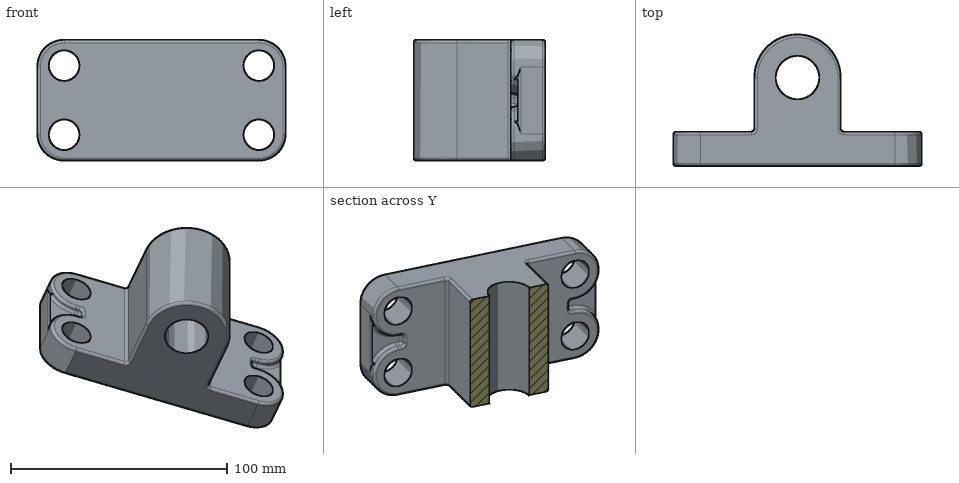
import cadquery as cq

width = 115.0
height = 56.0
depth = 61.0

plate_thickness = 16.0
corner_radius = 12.5
edge_round = 1.4

lug_radius = 20.0
bore_diameter = 20.0
lug_centre_y = depth - lug_radius

hole_diameter = 14.0
hole_pitch_x = 90.0
hole_pitch_z = 32.0

recess_depth = 3.2
recess_corner_radius = 1.5
recess_length = 15.5
recess_floor_y = plate_thickness - recess_depth
recess_inner_x = width / 2 - recess_length
pad_centre_x = width / 2 - corner_radius
pad_centre_z = height / 2 - corner_radius
recess_neck_z = pad_centre_z - corner_radius

tolerance = 0.01


def box_at_depth(y, x_start=-width, x_end=width):
    """Selector for what is centred at depth y between two X positions."""
    return cq.selectors.BoxSelector(
        (x_start, y - tolerance, -height),
        (x_end, y + tolerance, height),
    )


def make_plate():
    """Plate with a slot through each end, leaving a round pad on either side of it."""
    half_outline = (
        cq.Workplane("XZ")
        .moveTo(0, height / 2)
        .lineTo(-pad_centre_x, height / 2)
        .threePointArc((-width / 2, pad_centre_z), (-pad_centre_x, recess_neck_z))
        .lineTo(-recess_inner_x, recess_neck_z)
        .lineTo(-recess_inner_x, -recess_neck_z)
        .lineTo(-pad_centre_x, -recess_neck_z)
        .threePointArc((-width / 2, -pad_centre_z), (-pad_centre_x, -height / 2))
        .lineTo(0, -height / 2)
        .close()
    )
    half_plate = half_outline.extrude(-plate_thickness)
    inner_corners = cq.selectors.BoxSelector(
        (-recess_inner_x - tolerance, 0, -pad_centre_z),
        (-recess_inner_x + tolerance, plate_thickness, pad_centre_z),
    )
    half_plate = half_plate.edges("|Y").edges(inner_corners).fillet(recess_corner_radius)
    return half_plate.union(half_plate.mirror("YZ"))


def make_pocket():
    """Space above the recess floor at the -X end, open beyond the plate end."""
    open_x = -width / 2 - corner_radius
    open_z = height / 2
    pocket = (
        cq.Workplane("XZ", origin=(0, recess_floor_y, 0))
        .moveTo(-width / 2, pad_centre_z)
        .radiusArc((-pad_centre_x, recess_neck_z), -corner_radius)
        .lineTo(-recess_inner_x, recess_neck_z)
        .lineTo(-recess_inner_x, -recess_neck_z)
        .lineTo(-pad_centre_x, -recess_neck_z)
        .radiusArc((-width / 2, -pad_centre_z), -corner_radius)
        .lineTo(-width / 2, -open_z)
        .lineTo(open_x, -open_z)
        .lineTo(open_x, open_z)
        .lineTo(-width / 2, open_z)
        .close()
        .extrude(-plate_thickness)
    )
    pocket = pocket.edges("|Y").edges(">X").fillet(recess_corner_radius)
    return pocket.faces("<Y").edges().fillet(edge_round)


def make_lug():
    """Full-height lug with a round back, starting at the plate front."""
    return (
        cq.Workplane("XY")
        .moveTo(-lug_radius, 0)
        .lineTo(-lug_radius, lug_centre_y)
        .threePointArc((0, depth), (lug_radius, lug_centre_y))
        .lineTo(lug_radius, 0)
        .close()
        .extrude(height / 2, both=True)
    )


def make_slab(thickness):
    """Slab from the front face, as wide as the plate and reaching between the pad centres."""
    slab = cq.Workplane("XY").box(width, thickness, 2 * pad_centre_z)
    return slab.translate((0, thickness / 2, 0))


def make_recess_floor():
    """Filler for the front of both slots: a floor with rounded ends and filleted pad walls."""
    floor = make_slab(recess_floor_y).edges("|Z and >Y").fillet(edge_round)

    blend_top_y = recess_floor_y + edge_round
    wall_blend = make_slab(blend_top_y).faces(">Y").edges("|Z").chamfer(2 * edge_round, edge_round)
    pocket = make_pocket()
    wall_blend = wall_blend.cut(pocket).cut(pocket.mirror("YZ"))
    return floor.union(wall_blend)


def round_back(body):
    """Blend the lug into the plate, then round the back rims of plate, slots and lug."""
    junction = box_at_depth(plate_thickness, -lug_radius - tolerance, lug_radius + tolerance)
    body = body.edges("|Z").edges(junction).fillet(edge_round)

    lug_blend_x = lug_radius + 2 * edge_round
    left_rim = box_at_depth(plate_thickness, x_end=-lug_blend_x)
    right_rim = box_at_depth(plate_thickness, x_start=lug_blend_x)
    return body.edges(left_rim + right_rim).fillet(edge_round)


def cut_holes(body):
    """Drill the four mounting holes and the lug bore right through."""
    mounting_holes = (
        cq.Workplane("XZ")
        .rect(hole_pitch_x, hole_pitch_z, forConstruction=True)
        .vertices()
        .circle(hole_diameter / 2)
        .extrude(-plate_thickness)
    )
    bore = (
        cq.Workplane("XY")
        .center(0, lug_centre_y)
        .circle(bore_diameter / 2)
        .extrude(height / 2, both=True)
    )
    return body.cut(mounting_holes).cut(bore)


body = round_back(make_plate().union(make_lug()))
body = body.union(make_recess_floor())
body = body.faces("<Y").edges().fillet(edge_round)
result = cut_holes(body)